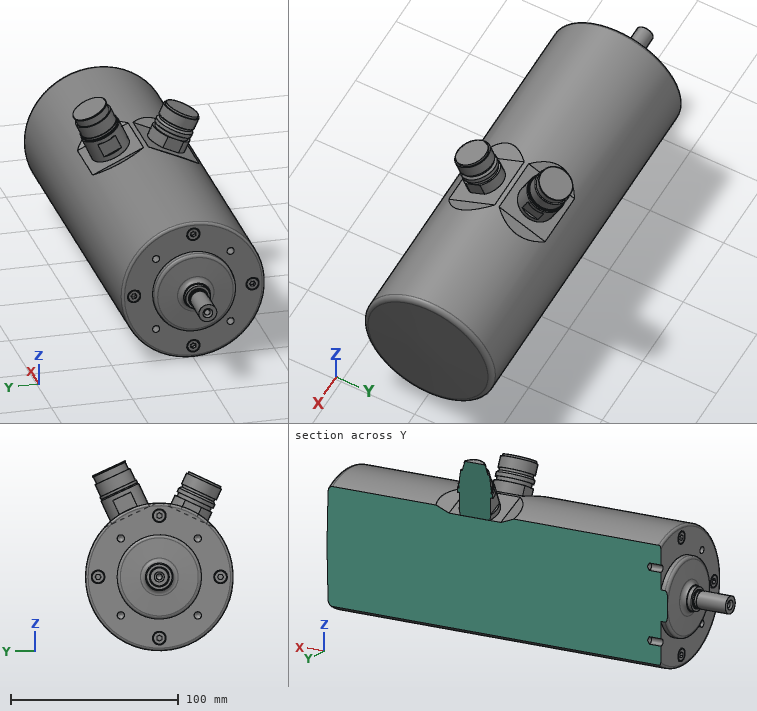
import cadquery as cq
import math

total_length = 270.0
housing_radius = 44.0
flange_x = 34.3
front_edge_fillet = 1.5
rear_rim_x = 268.5
rear_edge_fillet = 3.2

spigot_radius = 25.0
spigot_face_x = 29.5
spigot_fillet = 2.0
boss_fillet_radius = 3.0
boss_x = 25.6
boss_radius = 16.5 / 2

shaft_radius = 11.0 / 2
neck_radius = 10.5 / 2
collar_radius = 15.0 / 2
collar_front_radius = 12.0 / 2
shaft_end_x = 20.5
collar_x = 22.1
collar_step_x = 23.0
centre_hole_diameter = 3.5
centre_sink_diameter = 6.0
centre_hole_depth = 8.0
drill_tip_angle = 118.0

thread_hole_diameter = 4.3
thread_hole_depth = 8.0
thread_hole_circle_radius = 32.5
screw_circle_radius = 36.5
screw_recess_diameter = 8.0
screw_head_diameter = 7.0
screw_recess_depth = 4.0
socket_corner_diameter = 3.5
socket_depth = 2.5

seat_x = 165.0
seat_height = 40.5
seat_length = 36.5
seat_ramp_run = 10.0
seat_angle = 25.0

wrench_flat_width = 22.0
sleeve_radius = 23.0 / 2

long_base_radius = 24.8 / 2
long_flat_bottom = 43.7
long_flat_top = 53.0
long_base_top = 55.5
long_groove_top = 56.5
long_ring_radius = 24.0 / 2
long_ring_top = 58.0
long_sleeve_top = 66.0
long_neck_radius = 21.0 / 2
long_lip_bottom = 70.5
long_lip_radius = 21.5 / 2
long_top = 71.3

short_base_radius = 24.3 / 2
short_base_top = 48.0
short_lower_neck_radius = 21.5 / 2
short_ring_bottom = 50.5
short_ring_top = 53.0
short_ring_radius = 23.8 / 2
short_upper_neck_radius = 21.0 / 2
short_cone_top = 54.3
short_sleeve_bottom = 56.0
short_sleeve_top = 63.0
short_cap_radius = 21.0 / 2
short_top = 64.3


def revolved_housing():
    """Cylinder, spigot, collar and shaft as one profile turned about the X axis."""
    arc_mid = math.sqrt(0.5) * boss_fillet_radius
    fillet_end_x = boss_x + boss_fillet_radius
    fillet_end_radius = boss_radius + boss_fillet_radius
    spigot_mid = spigot_fillet * (1 - math.sqrt(0.5))
    front_mid = front_edge_fillet * (1 - math.sqrt(0.5))
    rear_mid = rear_edge_fillet * (1 - math.sqrt(0.5))
    return (
        cq.Workplane("XY")
        .moveTo(0, 0)
        .lineTo(0, shaft_radius)
        .lineTo(shaft_end_x, shaft_radius)
        .lineTo(shaft_end_x, neck_radius)
        .lineTo(collar_x, neck_radius)
        .lineTo(collar_x, collar_front_radius)
        .lineTo(collar_step_x, collar_front_radius)
        .lineTo(collar_step_x, collar_radius)
        .lineTo(boss_x, collar_radius)
        .lineTo(boss_x, boss_radius)
        .threePointArc(
            (boss_x + arc_mid, fillet_end_radius - arc_mid),
            (fillet_end_x, fillet_end_radius),
        )
        .lineTo(spigot_face_x, spigot_radius - spigot_fillet)
        .threePointArc(
            (spigot_face_x + spigot_mid, spigot_radius - spigot_mid),
            (spigot_face_x + spigot_fillet, spigot_radius),
        )
        .lineTo(flange_x, spigot_radius)
        .lineTo(flange_x, housing_radius - front_edge_fillet)
        .threePointArc(
            (flange_x + front_mid, housing_radius - front_mid),
            (flange_x + front_edge_fillet, housing_radius),
        )
        .lineTo(rear_rim_x - rear_edge_fillet, housing_radius)
        .threePointArc(
            (rear_rim_x - rear_mid, housing_radius - rear_mid),
            (rear_rim_x, housing_radius - rear_edge_fillet),
        )
        .lineTo(total_length, 0)
        .close()
        .revolve(360, (0, 0, 0), (1, 0, 0))
    )


def drilled_hole(diameter, depth, entry_x):
    """Cutter along +X for a drilled hole with a conical bottom, centred on the X axis."""
    radius = diameter / 2
    tip_length = radius / math.tan(math.radians(drill_tip_angle / 2))
    return (
        cq.Workplane("XY")
        .polyline([
            (entry_x, 0),
            (entry_x, radius),
            (entry_x + depth, radius),
            (entry_x + depth + tip_length, 0),
        ])
        .close()
        .revolve(360, (0, 0, 0), (1, 0, 0))
    )


def centre_hole():
    """Cutter for the shaft's centre hole, with a 90 degree countersink."""
    sink_radius = centre_sink_diameter / 2
    sink = cq.Solid.makeCone(
        sink_radius, 0, sink_radius, cq.Vector(0, 0, 0), cq.Vector(1, 0, 0)
    )
    hole = drilled_hole(centre_hole_diameter, centre_hole_depth, 0)
    return hole.union(cq.Workplane(sink))


def screw_recess():
    """Cutter that leaves a flush socket head inside a ring groove, centred on the X axis."""
    front = cq.Workplane("YZ", origin=(flange_x, 0, 0))
    groove = (
        front.circle(screw_recess_diameter / 2)
        .circle(screw_head_diameter / 2)
        .extrude(screw_recess_depth)
    )
    socket = (
        front.transformed(rotate=(0, 0, 90))
        .polygon(6, socket_corner_diameter)
        .extrude(socket_depth)
    )
    return groove.add(socket).combine()


def seat_cutter():
    """Cutter for a flat seat with ramped ends, facing straight up."""
    clearance = 5.5
    rise = housing_radius - seat_height + clearance
    top_half = seat_length / 2 + seat_ramp_run * rise / (housing_radius - seat_height)
    return (
        cq.Workplane("XZ")
        .polyline([
            (seat_x - seat_length / 2, seat_height),
            (seat_x + seat_length / 2, seat_height),
            (seat_x + top_half, seat_height + rise),
            (seat_x - top_half, seat_height + rise),
        ])
        .close()
        .extrude(housing_radius, both=True)
    )


def tilted(shape, angle):
    """Turn a part or cutter about the housing axis."""
    return shape.rotate((0, 0, 0), (1, 0, 0), angle)


def make_housing():
    housing = revolved_housing().cut(centre_hole())
    thread_hole = drilled_hole(thread_hole_diameter, thread_hole_depth, flange_x).translate(
        (0, 0, thread_hole_circle_radius)
    )
    screw = screw_recess().translate((0, 0, screw_circle_radius))
    for quarter in range(4):
        angle = 90 * quarter
        housing = housing.cut(tilted(thread_hole, angle + 45))
        housing = housing.cut(tilted(screw, angle))
    for angle in (seat_angle, -seat_angle):
        housing = housing.cut(tilted(seat_cutter(), angle))
    return housing


def turned_connector(outline):
    """Solid turned about the seat's own upright axis from (radius, height) points."""
    return (
        cq.Workplane("XZ", origin=(seat_x, 0, 0))
        .polyline([(0, outline[0][1])] + outline + [(0, outline[-1][1])])
        .close()
        .revolve(360, (0, 0, 0), (0, 1, 0))
    )


def cut_wrench_flats(connector, base_radius, flat_bottom, flat_top):
    """Cut two flats, facing along X, between two heights on the base."""
    blank_width = 3 * base_radius
    layer = cq.Workplane("XY", origin=(seat_x, 0, flat_bottom))
    height = flat_top - flat_bottom
    blank = layer.rect(blank_width, blank_width).extrude(height)
    kept = layer.rect(wrench_flat_width, blank_width).extrude(height)
    return connector.cut(blank.cut(kept))


def make_long_connector():
    connector = turned_connector([
        (long_base_radius, seat_height),
        (long_base_radius, long_base_top),
        (sleeve_radius, long_base_top),
        (sleeve_radius, long_groove_top),
        (long_ring_radius, long_groove_top),
        (long_ring_radius, long_ring_top),
        (sleeve_radius, long_ring_top),
        (sleeve_radius, long_sleeve_top),
        (long_neck_radius, long_sleeve_top),
        (long_neck_radius, long_lip_bottom),
        (long_lip_radius, long_lip_bottom),
        (long_lip_radius, long_top),
    ])
    return cut_wrench_flats(connector, long_base_radius, long_flat_bottom, long_flat_top)


def make_short_connector():
    connector = turned_connector([
        (short_base_radius, seat_height),
        (short_base_radius, short_base_top),
        (short_lower_neck_radius, short_base_top),
        (short_lower_neck_radius, short_ring_bottom),
        (short_ring_radius, short_ring_bottom),
        (short_ring_radius, short_ring_top),
        (short_upper_neck_radius, short_cone_top),
        (short_upper_neck_radius, short_sleeve_bottom),
        (sleeve_radius, short_sleeve_bottom),
        (sleeve_radius, short_sleeve_top),
        (short_cap_radius, short_sleeve_top),
        (short_cap_radius, short_top),
    ])
    return cut_wrench_flats(connector, short_base_radius, seat_height, short_base_top)


housing = make_housing()
long_connector = tilted(make_long_connector(), -seat_angle)
short_connector = tilted(make_short_connector(), seat_angle)

result = cq.Compound.makeCompound([housing.val(), long_connector.val(), short_connector.val()])